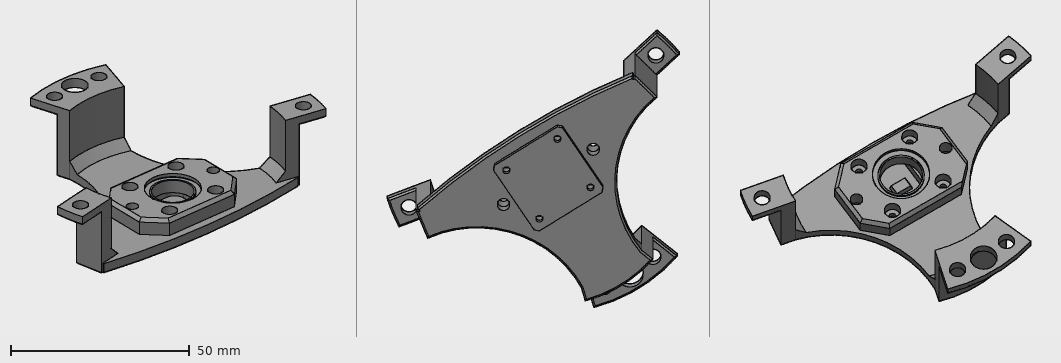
import cadquery as cq
import math

base_thickness = 3.4
bracket_height = 22.9
foot_thickness = 3.0
wall_outer_radius = 38.15
wall_thickness = 4.1
wall_inner_radius = wall_outer_radius - wall_thickness
gusset_size = 3.0
underside_chamfer = 0.6

wide_arm_half_angle = 17.25
narrow_arm_angle = 78.75
narrow_arm_width = 9.0

overall_width = 93.5
arm_direction = math.radians(narrow_arm_angle)
corner_offset = narrow_arm_width / 2
corner_reach = (overall_width / 2 - corner_offset * math.cos(arm_direction)) / math.sin(arm_direction)
foot_outer_radius = math.hypot(corner_reach, corner_offset)

base_radius = 37.9
base_front_edge = 15.1
base_front_radius = 219.75
scoop_radius = 33.0

foot_hole_circle_radius = 42.0
foot_hole_diameter = 4.5
wide_foot_center_hole_diameter = 7.5
wide_foot_hole_angle = 11.25

bearing_outer_diameter = 18.0
inner_race_outer_diameter = 13.0
inner_race_bore = 12.0
bearing_height = 4.0
outer_race_bore = 17.0
shield_recess = 0.6

cap_width = 25.0
cap_length = 36.0
cap_corner_cut = 6.0
cap_edge_chamfer = 1.0
cap_lip_thickness = 1.0
cap_height = bearing_height + cap_lip_thickness
cap_opening_diameter = 16.0
cap_top = base_thickness + cap_height

screw_offset = 8.5
screw_hole_diameter = 2.0
screw_head_diameter = 4.5
screw_head_depth = 3.5
end_hole_offset = 15.0
end_hole_diameter = 3.5

board_size = 23.0
board_thickness = 1.7
board_corner_cut = 1.0
window_half_width = 7.95
window_back_edge = -5.1
window_corner_radius = 3.3
chip_width = 3.65
chip_length = 5.3
chip_height = 1.5
chip_inset = 0.33

FAR = 2 * foot_outer_radius


def polar(radius, angle):
    """Point at a radius and an angle in degrees from +X."""
    return radius * math.cos(math.radians(angle)), radius * math.sin(math.radians(angle))


def cylinder(diameter, bottom, top):
    return cq.Workplane("XY").workplane(offset=bottom).circle(diameter / 2).extrude(top - bottom)


def tube(outer_diameter, inner_diameter, bottom, top):
    return cylinder(outer_diameter, bottom, top).cut(cylinder(inner_diameter, bottom, top))


def cylinders_at(points, diameter, bottom, top):
    plane = cq.Workplane("XY").workplane(offset=bottom)
    return plane.pushPoints(points).circle(diameter / 2).extrude(top - bottom)


screw_points = [(x, y) for x in (-screw_offset, screw_offset) for y in (-screw_offset, screw_offset)]
end_points = [(0, -end_hole_offset), (0, end_hole_offset)]


def wide_arm_zone(half_angle=wide_arm_half_angle):
    """Wedge-shaped column that the wide arm fills."""
    corner = polar(FAR, 180 - half_angle)
    return (
        cq.Workplane("XY")
        .polyline([(0, 0), corner, (corner[0], -corner[1])])
        .close()
        .extrude(bracket_height)
    )


def narrow_arm_zone(side, extra_width=0):
    """Straight column that a narrow arm fills; extra_width widens it toward the wide arm."""
    near_edge = -narrow_arm_width / 2
    far_edge = narrow_arm_width / 2 + extra_width
    zone = (
        cq.Workplane("XY")
        .polyline([(0, near_edge), (FAR, near_edge), (FAR, far_edge), (0, far_edge)])
        .close()
        .extrude(bracket_height)
        .rotate((0, 0, 0), (0, 0, 1), narrow_arm_angle)
    )
    return zone if side > 0 else zone.mirror("XZ")


def foot(zone):
    """Flat foot reaching outward from the top of a wall."""
    foot_bottom = bracket_height - foot_thickness
    body = tube(2 * foot_outer_radius, 2 * wall_inner_radius, foot_bottom, bracket_height).intersect(zone)
    return body.faces("<Z").edges().chamfer(underside_chamfer)


def wide_arm():
    """Foot and a wall that is curved inside and outside."""
    zone = wide_arm_zone()
    wall = tube(2 * wall_outer_radius, 2 * wall_inner_radius, 0, bracket_height).intersect(zone)
    return wall.union(foot(zone))


def narrow_arm(side):
    """Foot and a wall that is curved inside and flat outside."""
    zone = narrow_arm_zone(side)
    wall = (
        cq.Workplane("XY")
        .rect(2 * wall_outer_radius, narrow_arm_width)
        .extrude(bracket_height)
        .rotate((0, 0, 0), (0, 0, 1), side * narrow_arm_angle)
        .cut(cylinder(2 * wall_inner_radius, 0, bracket_height))
        .intersect(zone)
    )
    return wall.union(foot(zone))


def scoop_center():
    """Center of the +Y scoop, which passes through the inner wall corners of both arms beside it."""
    half_width = narrow_arm_width / 2
    narrow_angle = narrow_arm_angle + math.degrees(math.asin(half_width / wall_inner_radius))
    wide_angle = 180 - wide_arm_half_angle
    half_span = math.radians(wide_angle - narrow_angle) / 2
    half_chord = wall_inner_radius * math.sin(half_span)
    chord_distance = wall_inner_radius * math.cos(half_span)
    distance = chord_distance + math.sqrt(scoop_radius**2 - half_chord**2)
    return polar(distance, (wide_angle + narrow_angle) / 2)


def base_plate(thickness):
    """Base outline: a disc trimmed by a shallow arc at +X and scooped out between the arms."""
    plate = cylinder(2 * base_radius, 0, thickness)
    front_disc = cylinders_at([(base_front_edge - base_front_radius, 0)], 2 * base_front_radius, 0, thickness)
    x, y = scoop_center()
    scoops = cylinders_at([(x, y), (x, -y)], 2 * scoop_radius, 0, thickness)
    return plate.intersect(front_disc).cut(scoops)


def gussets():
    """Triangular ring inside the walls, kept only where it lies on the base next to an arm."""
    inner = wall_inner_radius - gusset_size
    ring = (
        cq.Workplane("XZ")
        .polyline([
            (inner, base_thickness),
            (wall_inner_radius, base_thickness),
            (wall_inner_radius, base_thickness + gusset_size),
        ])
        .close()
        .revolve(360, (0, 0, 0), (0, 1, 0))
    )
    zones = wide_arm_zone(2 * wide_arm_half_angle)
    for side in (1, -1):
        zones = zones.union(narrow_arm_zone(side, extra_width=narrow_arm_width / 2))
    return ring.intersect(base_plate(bracket_height)).intersect(zones)


def window():
    """Opening in the base that lets the chip face the bearing bore."""
    length = window_half_width - window_back_edge
    return (
        cq.Workplane("XY")
        .center(0, (window_half_width + window_back_edge) / 2)
        .rect(2 * window_half_width, length)
        .extrude(base_thickness)
        .edges("|Z and >Y")
        .fillet(window_corner_radius)
    )


def make_bracket():
    body = base_plate(base_thickness)
    body = body.union(wide_arm())
    for side in (1, -1):
        body = body.union(narrow_arm(side))
    body = body.faces("<Z").edges().chamfer(underside_chamfer).union(gussets())

    foot_points = [polar(foot_hole_circle_radius, side * narrow_arm_angle) for side in (1, -1)]
    foot_points += [polar(foot_hole_circle_radius, 180 + side * wide_foot_hole_angle) for side in (1, -1)]
    body = body.cut(cylinders_at(foot_points, foot_hole_diameter, 0, bracket_height))
    center_point = [(-foot_hole_circle_radius, 0)]
    body = body.cut(cylinders_at(center_point, wide_foot_center_hole_diameter, 0, bracket_height))

    body = body.cut(window())
    body = body.cut(cylinders_at(screw_points, screw_hole_diameter, 0, base_thickness))
    return body.cut(cylinders_at(end_points, end_hole_diameter, 0, base_thickness))


def make_cap():
    body = (
        cq.Workplane("XY")
        .workplane(offset=base_thickness)
        .rect(cap_width, cap_length)
        .extrude(cap_height)
        .edges("|Z")
        .edges(">X or >Y")
        .chamfer(cap_corner_cut)
    )
    body = body.faces(">Z").edges().chamfer(cap_edge_chamfer)
    x, y = -cap_width / 2, -cap_length / 2
    corner = (
        cq.Workplane("XY")
        .workplane(offset=base_thickness)
        .polyline([(x, y), (x + cap_corner_cut, y), (x, y + cap_corner_cut)])
        .close()
        .extrude(cap_height)
    )
    body = body.cut(corner)
    body = body.cut(cylinder(bearing_outer_diameter, base_thickness, cap_top - cap_lip_thickness))
    body = body.cut(cylinder(cap_opening_diameter, base_thickness, cap_top))
    body = body.cut(cylinders_at(screw_points, screw_hole_diameter, base_thickness, cap_top))
    body = body.cut(cylinders_at(screw_points, screw_head_diameter, cap_top - screw_head_depth, cap_top))
    return body.cut(cylinders_at(end_points, end_hole_diameter, base_thickness, cap_top))


def make_inner_race():
    return tube(inner_race_outer_diameter, inner_race_bore, base_thickness, base_thickness + bearing_height)


def make_outer_race():
    """Outer ring of the bearing together with the recessed shield that reaches the inner race."""
    top = base_thickness + bearing_height
    body = tube(bearing_outer_diameter, inner_race_outer_diameter, base_thickness, top)
    return body.cut(cylinder(outer_race_bore, top - shield_recess, top))


def make_board():
    body = (
        cq.Workplane("XY")
        .workplane(offset=-board_thickness)
        .rect(board_size, board_size)
        .extrude(board_thickness)
        .edges("|Z")
        .chamfer(board_corner_cut)
    )
    return body.cut(cylinders_at(screw_points, screw_hole_diameter, -board_thickness, 0))


def make_chip():
    draft = math.degrees(math.atan2(chip_inset, chip_height))
    return cq.Workplane("XY").rect(chip_width, chip_length).extrude(chip_height, taper=draft)


bracket = make_bracket()
cap = make_cap()
inner_race = make_inner_race()
outer_race = make_outer_race()
board = make_board()
chip = make_chip()

result = cq.Compound.makeCompound([
    bracket.val(),
    cap.val(),
    inner_race.val(),
    outer_race.val(),
    board.val(),
    chip.val(),
])